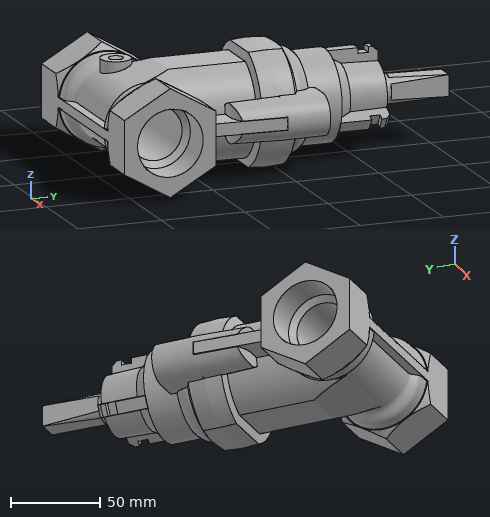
import cadquery as cq
import math


overall_length = 217.5

port_length = 130.0
hex_flats = 55.0
hex_corner_radius = hex_flats / 2 / math.cos(math.radians(30))
hex_inner_x = 38.3
hex_chamfer_length = 4.0
bore_diameter = 31.8
socket_diameter = 39.4
socket_depth = 20.0
socket_point_angle = 105

tube_radius = 22.2
shoulder_radius = 27.0
shoulder_x = 30.5
shoulder_blend = 4.4
bottom_rib_width = 6.0

body_radius = 31.0
body_half_height = 28.0
slope_top_y = 18.7
slope_bottom_y = -5.7
slope_bottom_half_height = math.sqrt(tube_radius**2 - slope_bottom_y**2)

flange_half_height = 68.0 / 2
flange_edge_half_height = 33.5
flange_radius = 37.2
flange_edge_radius = 36.5
flange_bottom_y = 64.8
flange_lower_edge_y = 66.1
flange_split_y = 76.3
flange_upper_edge_y = 86.8
dome_bottom_y = 89.8
dome_bottom_radius = 31.0
dome_middle_y = 95.3
dome_middle_radius = 29.8
collar_diameter = 54.5
collar_radius = collar_diameter / 2
collar_bottom_y = 98.3
collar_top_y = 117.7

cone_bottom_radius = 23.7
cone_top_y = 126.0
neck_radius = 19.0
neck_top_radius = 18.3
neck_top_y = 148.3
rib_count = 3
rib_radius = 26.5
rib_width = 7.5
rib_chamfer = 2.8
notch_bottom_y = 136.4
notch_width = 6.0
notch_depth = 3.3

stem_diameter = 18.0
square_bottom_y = 154.5
square_bottom_side = 15.5
square_top_side = 12.8
stem_top_y = overall_length - hex_flats / 2

lug_x = 37.5
lug_radius = 12.5
lug_top_radius = 12.2
lug_bottom_radius = 11.5
lug_top_y = 102.2
lug_bottom_y = 46.1
lug_end_rise = 1.0
lug_end_corner_y = 50
web_width = 7.5
web_top_x = 50.2
web_bottom_x = 48.3

boss_x = -20.0
boss_diameter = 18.0
drain_diameter = 8.5
drain_point_angle = 118


def box_between(x_range, y_range, z_range):
    """Box given by its limits along each axis."""
    ranges = (x_range, y_range, z_range)
    size = [high - low for low, high in ranges]
    middle = [(high + low) / 2 for low, high in ranges]
    return cq.Workplane("XY").box(*size).translate(tuple(middle))


def at_height(y):
    """Sketch plane across the stem axis, looking down the stem."""
    return cq.Workplane("XZ", origin=(0, y, 0))


def mirrored_in_x(shape):
    return shape.union(shape.mirror("YZ"))


def make_hex_end():
    """Right-hand hexagon with its inner corners turned down to the flats."""
    outer_x = port_length / 2
    hexagon = (
        cq.Workplane("YZ", origin=(hex_inner_x, 0, 0))
        .polygon(6, 2 * hex_corner_radius)
        .extrude(outer_x - hex_inner_x)
        .rotate((0, 0, 0), (1, 0, 0), 90)
    )
    turned_blank = (
        cq.Workplane("XY")
        .moveTo(hex_inner_x, 0)
        .lineTo(hex_inner_x, hex_flats / 2)
        .lineTo(hex_inner_x + hex_chamfer_length, hex_corner_radius)
        .lineTo(outer_x, hex_corner_radius)
        .lineTo(outer_x, 0)
        .close()
        .revolve(360, (0, 0, 0), (1, 0, 0))
    )
    return hexagon.intersect(turned_blank)


def make_flow_tube():
    """Tube that swells through blended 45 degree cones to the shoulders at the hexagons."""
    cone_inner_x = shoulder_x - shoulder_radius + tube_radius
    half_angle = math.radians(45 / 2)
    tangent = shoulder_blend * math.tan(half_angle)
    diagonal = tangent * math.sqrt(0.5)
    mid_out = shoulder_blend * math.sin(half_angle)
    mid_drop = shoulder_blend * (1 - math.cos(half_angle))
    concave_x = cone_inner_x - tangent
    convex_x = shoulder_x + tangent
    half_tube = (
        cq.Workplane("XY")
        .lineTo(0, tube_radius)
        .lineTo(concave_x, tube_radius)
        .threePointArc(
            (concave_x + mid_out, tube_radius + mid_drop),
            (cone_inner_x + diagonal, tube_radius + diagonal),
        )
        .lineTo(shoulder_x - diagonal, shoulder_radius - diagonal)
        .threePointArc(
            (convex_x - mid_out, shoulder_radius - mid_drop),
            (convex_x, shoulder_radius),
        )
        .lineTo(hex_inner_x, shoulder_radius)
        .lineTo(hex_inner_x, 0)
        .close()
        .revolve(360, (0, 0, 0), (1, 0, 0))
    )
    return mirrored_in_x(half_tube)


def make_bottom_rib():
    """Rib under the tube, flush with the bottom flats of the hexagons."""
    end_x = hex_inner_x + hex_chamfer_length
    return box_between(
        (-end_x, end_x),
        (-hex_flats / 2, 0),
        (-bottom_rib_width / 2, bottom_rib_width / 2),
    )


def make_body():
    """Round body with two flats that slope down to the flow tube."""
    column = at_height(flange_lower_edge_y).circle(body_radius)
    column = column.extrude(flange_lower_edge_y - slope_bottom_y)
    side_outline = (
        cq.Workplane("YZ", origin=(-body_radius, 0, 0))
        .moveTo(slope_bottom_y, -slope_bottom_half_height)
        .lineTo(slope_top_y, -body_half_height)
        .lineTo(flange_lower_edge_y, -body_half_height)
        .lineTo(flange_lower_edge_y, body_half_height)
        .lineTo(slope_top_y, body_half_height)
        .lineTo(slope_bottom_y, slope_bottom_half_height)
        .close()
        .extrude(2 * body_radius)
    )
    return column.intersect(side_outline)


def make_bonnet():
    """Turned flange, dome, collar, neck and stem journal; the flange has two drafted flats."""
    turned = (
        cq.Workplane("XY")
        .moveTo(0, flange_bottom_y)
        .lineTo(body_radius, flange_bottom_y)
        .lineTo(flange_edge_radius, flange_lower_edge_y)
        .lineTo(flange_radius, flange_split_y)
        .lineTo(flange_edge_radius, flange_upper_edge_y)
        .lineTo(dome_bottom_radius, dome_bottom_y)
        .threePointArc((dome_middle_radius, dome_middle_y), (collar_radius, collar_bottom_y))
        .lineTo(collar_radius, collar_top_y)
        .lineTo(cone_bottom_radius, collar_top_y)
        .lineTo(neck_radius, cone_top_y)
        .lineTo(neck_top_radius, neck_top_y)
        .lineTo(stem_diameter / 2, neck_top_y)
        .lineTo(stem_diameter / 2, square_bottom_y)
        .lineTo(0, square_bottom_y)
        .close()
        .revolve(360, (0, 0, 0), (0, 1, 0))
    )
    upper_half = (
        cq.Workplane("YZ", origin=(-flange_radius, 0, 0))
        .moveTo(flange_bottom_y, 0)
        .lineTo(flange_bottom_y, body_half_height)
        .lineTo(flange_lower_edge_y, flange_edge_half_height)
        .lineTo(flange_split_y, flange_half_height)
        .lineTo(dome_bottom_y, flange_edge_half_height)
        .lineTo(square_bottom_y, flange_edge_half_height)
        .lineTo(square_bottom_y, 0)
        .close()
        .extrude(2 * flange_radius)
    )
    flats = upper_half.union(upper_half.mirror("XY"))
    return turned.intersect(flats)


def make_neck_ribs():
    """Ribs around the neck, each with a chamfered tip and a snap notch."""
    notch_top_y = notch_bottom_y + notch_width
    notch_radius = rib_radius - notch_depth
    rib = (
        cq.Workplane("YZ", origin=(-rib_width / 2, 0, 0))
        .moveTo(collar_top_y, 0)
        .lineTo(collar_top_y, rib_radius)
        .lineTo(notch_bottom_y, rib_radius)
        .lineTo(notch_bottom_y, notch_radius)
        .lineTo(notch_top_y, notch_radius)
        .lineTo(notch_top_y, rib_radius)
        .lineTo(neck_top_y - rib_chamfer, rib_radius)
        .lineTo(neck_top_y, rib_radius - rib_chamfer)
        .lineTo(neck_top_y, 0)
        .close()
        .extrude(rib_width)
    )
    ribs = rib
    for index in range(1, rib_count):
        ribs = ribs.union(rib.rotate((0, 0, 0), (0, 1, 0), index * 360 / rib_count))
    return ribs


def make_stem_square():
    """Tapered square whose corners are turned to the stem diameter."""
    square = (
        at_height(square_bottom_y)
        .rect(square_bottom_side, square_bottom_side)
        .workplane(offset=square_bottom_y - stem_top_y)
        .rect(square_top_side, square_top_side)
        .loft(ruled=True)
    )
    round_bar = at_height(stem_top_y).circle(stem_diameter / 2).extrude(stem_top_y - square_bottom_y)
    return square.intersect(round_bar)


def make_upper_lugs():
    """Drafted bar with round ends that crosses the bonnet and forms both upper lugs."""
    height = lug_top_y - flange_split_y
    draft = math.degrees(math.atan((lug_radius - lug_top_radius) / height))
    return (
        at_height(flange_split_y)
        .slot2D(2 * (lug_x + lug_radius), 2 * lug_radius)
        .extrude(-height, taper=draft)
    )


def make_lower_lug():
    """Drafted round lug whose lower end curves up towards its outer side."""
    cone = (
        cq.Workplane("XY")
        .moveTo(0, flange_split_y)
        .lineTo(lug_radius, flange_split_y)
        .lineTo(lug_bottom_radius, lug_bottom_y)
        .lineTo(0, lug_bottom_y)
        .close()
        .revolve(360, (0, 0, 0), (0, 1, 0))
        .translate((lug_x, 0, 0))
    )
    end_outline = (
        cq.Workplane("XY", origin=(0, 0, -lug_radius))
        .moveTo(0, flange_split_y)
        .lineTo(0, lug_bottom_y)
        .lineTo(lug_x - lug_radius / 2, lug_bottom_y)
        .threePointArc(
            (lug_x + lug_radius / 2, lug_bottom_y + lug_end_rise),
            (lug_x + lug_bottom_radius, lug_end_corner_y),
        )
        .lineTo(lug_x + lug_radius, flange_split_y)
        .close()
        .extrude(2 * lug_radius)
    )
    return cone.intersect(end_outline)


def make_web():
    """Web from the right-hand lug down to the hexagon."""
    return (
        cq.Workplane("XY", origin=(0, 0, -web_width / 2))
        .lineTo(0, flange_split_y)
        .lineTo(web_top_x, flange_split_y)
        .lineTo(web_bottom_x, hex_flats / 2)
        .lineTo(hex_inner_x, 0)
        .close()
        .extrude(web_width)
    )


def make_drain_boss():
    return (
        cq.Workplane("XY")
        .center(boss_x, 0)
        .circle(boss_diameter / 2)
        .extrude(body_half_height)
    )


def make_drain_point():
    """Conical drill point sunk into the top of the drain boss."""
    radius = drain_diameter / 2
    depth = radius / math.tan(math.radians(drain_point_angle / 2))
    return (
        cq.Workplane("XZ")
        .moveTo(0, body_half_height)
        .lineTo(radius, body_half_height)
        .lineTo(0, body_half_height - depth)
        .close()
        .revolve(360, (0, 0, 0), (0, 1, 0))
        .translate((boss_x, 0, 0))
    )


def make_flow_bore():
    """Through bore with a wider, cone-bottomed socket at each end."""
    outer_x = port_length / 2
    bore_radius = bore_diameter / 2
    socket_radius = socket_diameter / 2
    shelf_x = outer_x - socket_depth
    cone_length = (socket_radius - bore_radius) / math.tan(math.radians(socket_point_angle / 2))
    half_bore = (
        cq.Workplane("XY")
        .lineTo(0, bore_radius)
        .lineTo(shelf_x - cone_length, bore_radius)
        .lineTo(shelf_x, socket_radius)
        .lineTo(outer_x, socket_radius)
        .lineTo(outer_x, 0)
        .close()
        .revolve(360, (0, 0, 0), (1, 0, 0))
    )
    return mirrored_in_x(half_bore)


result = (
    make_flow_tube()
    .union(mirrored_in_x(make_hex_end()))
    .union(make_bottom_rib())
    .union(make_body())
    .union(make_bonnet())
    .union(make_neck_ribs())
    .union(make_stem_square())
    .union(make_upper_lugs())
    .union(mirrored_in_x(make_lower_lug()))
    .union(mirrored_in_x(make_web()))
    .union(make_drain_boss())
    .cut(make_drain_point())
    .cut(make_flow_bore())
)